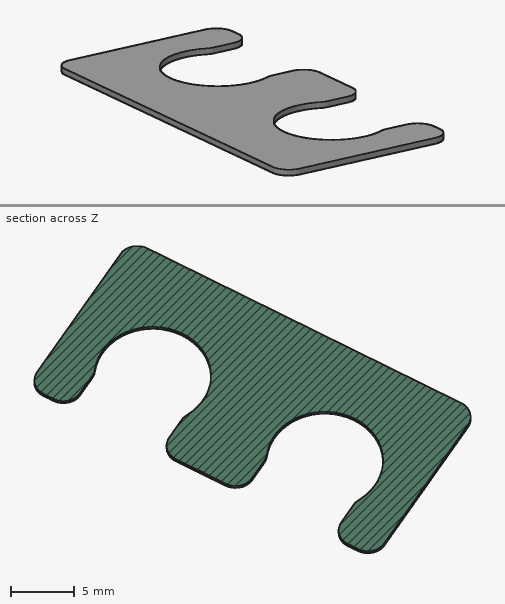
import cadquery as cq

length = 31.75
width = 16.0
thickness = 0.5
corner_radius = 1.52

seat_spacing = 15.72
seat_radius = 4.57
seat_depth = 5.87
slot_width = 8.13
neck_radius = 1.52

top_edge = width / 2
seat_y = top_edge - seat_depth
slot_half = slot_width / 2
neck_y = seat_y + (seat_radius**2 - slot_half**2) ** 0.5
pick_tolerance = 0.03


def seat_cutter(x):
    """Round seat joined to its open slot."""
    seat = cq.Workplane("XY").center(x, seat_y).circle(seat_radius).extrude(thickness)
    slot = (
        cq.Workplane("XY")
        .center(x, seat_y + seat_depth / 2)
        .rect(slot_width, seat_depth)
        .extrude(thickness)
    )
    return seat.union(slot)


def vertical_edges_at(y):
    """Selector for the vertical edges lying in the plane of the given Y."""
    return cq.selectors.BoxSelector(
        (-length, y - pick_tolerance, -thickness),
        (length, y + pick_tolerance, 2 * thickness),
    )


plate = cq.Workplane("XY").rect(length, width).extrude(thickness)
for seat_x in (-seat_spacing / 2, seat_spacing / 2):
    plate = plate.cut(seat_cutter(seat_x))

plate = plate.edges("|Z").edges(vertical_edges_at(neck_y)).fillet(neck_radius)
for edge_y in (-top_edge, top_edge):
    plate = plate.edges("|Z").edges(vertical_edges_at(edge_y)).fillet(corner_radius)

result = plate